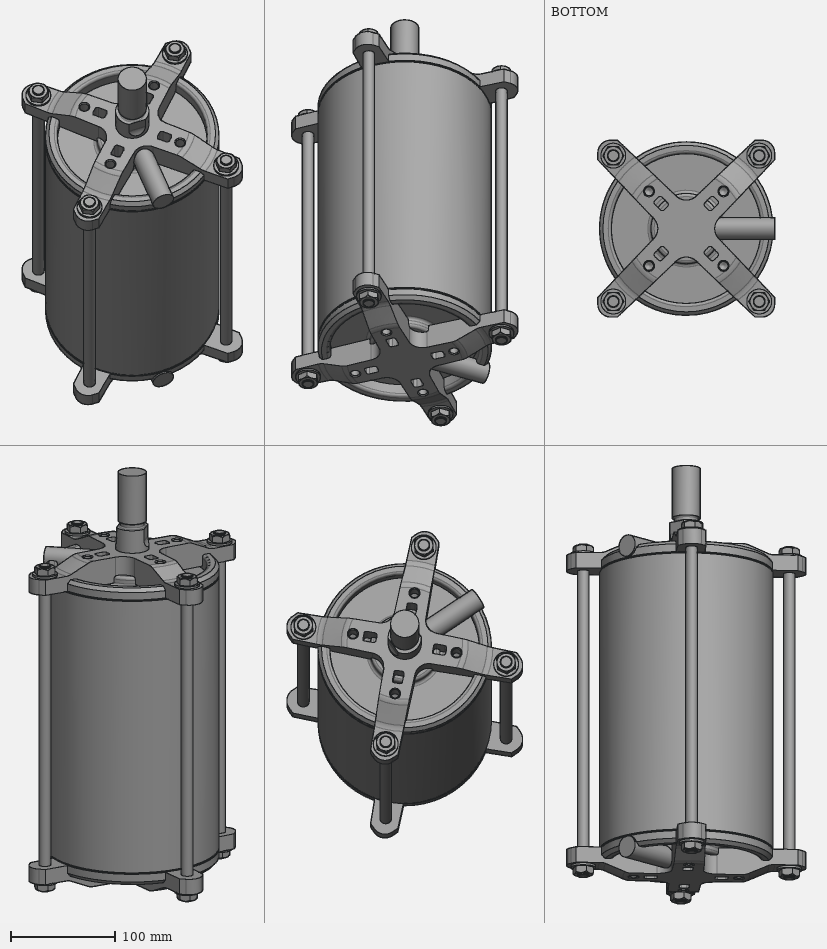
import cadquery as cq
import math

TOTAL_HEIGHT = 405.0
FRAME_HEIGHT = 328.0
MID_Z = FRAME_HEIGHT / 2
FRAME_WIDTH = 170.0

BARREL_DIAMETER = 167.0
SEAM_DIAMETER = 165.0
SEAM_WIDTH = 1.2
CAP_DIAMETER = BARREL_DIAMETER
CAP_TOP_DIAMETER = 160.0
CAP_BEVEL_HEIGHT = 3.5
CAP_TOP_Z = 313.5
RECESS_DIAMETER = 143.8
RECESS_FLOOR_Z = 299.5
RECESS_LIP_RADIUS = 3.05
BOSS_DIAMETER = 67.5
BOSS_TOP_Z = 309.5
BOSS_FILLET_RADIUS = 3.05

SPIDER_THICKNESS = 26.0
ARM_END_THICKNESS = 15.5
ARM_ROOT_WIDTH = 32.0
ARM_TIP_WIDTH = 26.7
ARM_TIP_RADIAL = 107.5
ARM_END_RADIUS = 12.5
HUB_FILLET_RADIUS = 13.8
SLOPE_INNER_RADIUS = 58.5
SLOPE_OUTER_RADIUS = 82.0
SLOPE_BLEND_RADIUS = 13.8
SPIDER_FLOOR_Z = FRAME_HEIGHT - SPIDER_THICKNESS
CAP_BASE_Z = SPIDER_FLOOR_Z
ARM_TOP_Z = SPIDER_FLOOR_Z + ARM_END_THICKNESS
ARM_ANGLES = [45, 135, 225, 315]

ARM_HOLE_DIAMETER = 8.5
ARM_HOLE_MOUTH_DIAMETER = 10.5
ARM_HOLE_DEPTH = 18.2
ARM_HOLE_RADIAL = 50.5
DRILL_CONE_ANGLE = 30
WINDOW_LENGTH = 12.5
WINDOW_WIDTH = 9.7
WINDOW_RADIAL = 34.0
WINDOW_CORNER_RADIUS = 2.5

ROD_OFFSET = 70.0
ROD_DIAMETER = 11.5
ROD_TIP_CHAMFER = 0.6
WASHER_DIAMETER = 24.0
WASHER_THICKNESS = 2.0
NUT_ACROSS_CORNERS = 20.2
NUT_THICKNESS = 7.0
NUT_CHAMFER_HEIGHT = 1.4

TUBE_DIAMETER = 21.0
TUBE_Z = 313.0

SHAFT_DIAMETER = 27.0
NECK_DIAMETER = 22.5
COLLAR_DIAMETER = 32.0
NECK_TOP_Z = 356.0
COLLAR_TOP_Z = 350.7
NECK_FILLET_RADIUS = 1.2
FLAT_BOTTOM_Z = 339.0
FLAT_RUNOUT_RADIUS = 13.0


def cylinder(diameter, bottom, top):
    return cq.Workplane("XY").workplane(offset=bottom).circle(diameter / 2).extrude(top - bottom)


def mirrored_to_bottom(shape):
    """Copy of a top-end shape reflected to the bottom end."""
    return shape.mirror("XY", (0, 0, MID_Z))


def make_barrel():
    """Barrel between the end caps, with a seam groove next to each cap."""
    core = cylinder(SEAM_DIAMETER, FRAME_HEIGHT - CAP_BASE_Z, CAP_BASE_Z)
    wall_top = CAP_BASE_Z - SEAM_WIDTH
    return core.union(cylinder(BARREL_DIAMETER, FRAME_HEIGHT - wall_top, wall_top))


def make_cap():
    """Upper end cap as a solid disc with a bevelled rim."""
    return (
        cq.Workplane("XZ")
        .moveTo(0, CAP_BASE_Z)
        .lineTo(CAP_DIAMETER / 2, CAP_BASE_Z)
        .lineTo(CAP_DIAMETER / 2, CAP_TOP_Z - CAP_BEVEL_HEIGHT)
        .lineTo(CAP_TOP_DIAMETER / 2, CAP_TOP_Z)
        .lineTo(0, CAP_TOP_Z)
        .close()
        .revolve(360, (0, 0, 0), (0, 1, 0))
    )


def make_cap_recess():
    """Cut around the central boss: rounded lip, filleted boss foot and rounded boss edge."""
    lip = RECESS_LIP_RADIUS
    fillet = BOSS_FILLET_RADIUS
    recess_r = RECESS_DIAMETER / 2
    boss_r = BOSS_DIAMETER / 2
    return (
        cq.Workplane("XZ")
        .moveTo(0, CAP_TOP_Z)
        .lineTo(recess_r + lip, CAP_TOP_Z)
        .radiusArc((recess_r, CAP_TOP_Z - lip), -lip)
        .lineTo(recess_r, RECESS_FLOOR_Z)
        .lineTo(boss_r + fillet, RECESS_FLOOR_Z)
        .radiusArc((boss_r, RECESS_FLOOR_Z + fillet), fillet)
        .lineTo(boss_r, BOSS_TOP_Z - fillet)
        .radiusArc((boss_r - fillet, BOSS_TOP_Z), -fillet)
        .lineTo(0, BOSS_TOP_Z)
        .close()
        .revolve(360, (0, 0, 0), (0, 1, 0))
    )


def make_spider_plan():
    """Four-armed prism with tapered arms, filleted inner corners and rounded arm ends."""
    square = (
        cq.Workplane("XY")
        .box(FRAME_WIDTH, FRAME_WIDTH, SPIDER_THICKNESS, centered=(True, True, False))
        .edges("|Z")
        .fillet(ARM_END_RADIUS)
    )
    root = ARM_ROOT_WIDTH / 2
    tip = ARM_TIP_WIDTH / 2
    arm = (
        cq.Workplane("XY")
        .moveTo(0, -root)
        .lineTo(ARM_TIP_RADIAL, -tip)
        .lineTo(FRAME_WIDTH, -tip)
        .lineTo(FRAME_WIDTH, tip)
        .lineTo(ARM_TIP_RADIAL, tip)
        .lineTo(0, root)
        .close()
        .extrude(SPIDER_THICKNESS)
    )
    cross = cq.Workplane("XY")
    for angle in ARM_ANGLES:
        cross = cross.union(arm.rotate((0, 0, 0), (0, 0, 1), angle))
    hub_corners = cq.selectors.BoxSelector(
        (-ARM_ROOT_WIDTH, -ARM_ROOT_WIDTH, 0),
        (ARM_ROOT_WIDTH, ARM_ROOT_WIDTH, SPIDER_THICKNESS),
    )
    cross = cross.edges("|Z").edges(hub_corners).fillet(HUB_FILLET_RADIUS)
    return cross.intersect(square).translate((0, 0, SPIDER_FLOOR_Z))


def make_spider_envelope():
    """Round body whose conical top slopes the arms down towards their ends."""
    envelope = (
        cq.Workplane("XZ")
        .moveTo(0, SPIDER_FLOOR_Z)
        .lineTo(FRAME_WIDTH, SPIDER_FLOOR_Z)
        .lineTo(FRAME_WIDTH, ARM_TOP_Z)
        .lineTo(SLOPE_OUTER_RADIUS, ARM_TOP_Z)
        .lineTo(SLOPE_INNER_RADIUS, FRAME_HEIGHT)
        .lineTo(0, FRAME_HEIGHT)
        .close()
        .revolve(360, (0, 0, 0), (0, 1, 0))
    )
    slope_region = cq.selectors.BoxSelector(
        (-FRAME_WIDTH, -FRAME_WIDTH, ARM_TOP_Z - 0.5),
        (FRAME_WIDTH, FRAME_WIDTH, FRAME_HEIGHT + 0.5),
    )
    slope_edges = [
        edge for edge in envelope.edges("%CIRCLE").edges(slope_region).vals()
        if edge.radius() < FRAME_WIDTH - 4
    ]
    return envelope.newObject(slope_edges).fillet(SLOPE_BLEND_RADIUS)


def make_arm_hole():
    """Blind drilled hole with a countersunk mouth and a conical bottom, on the +X axis."""
    hole_r = ARM_HOLE_DIAMETER / 2
    mouth_r = ARM_HOLE_MOUTH_DIAMETER / 2
    bottom_z = FRAME_HEIGHT - ARM_HOLE_DEPTH
    cone_height = hole_r * math.tan(math.radians(DRILL_CONE_ANGLE))
    return (
        cq.Workplane("XZ")
        .moveTo(0, FRAME_HEIGHT)
        .lineTo(mouth_r, FRAME_HEIGHT)
        .lineTo(hole_r, FRAME_HEIGHT - (mouth_r - hole_r))
        .lineTo(hole_r, bottom_z)
        .lineTo(0, bottom_z - cone_height)
        .close()
        .revolve(360, (0, 0, 0), (0, 1, 0))
        .translate((ARM_HOLE_RADIAL, 0, 0))
    )


def make_window():
    """Rectangular opening with rounded corners, through the spider on the +X axis."""
    return (
        cq.Workplane("XY")
        .box(WINDOW_LENGTH, WINDOW_WIDTH, SPIDER_THICKNESS, centered=(True, True, False))
        .edges("|Z")
        .fillet(WINDOW_CORNER_RADIUS)
        .translate((WINDOW_RADIAL, 0, SPIDER_FLOOR_Z))
    )


def make_spider():
    spider = make_spider_plan().intersect(make_spider_envelope())
    cutter = make_arm_hole().union(make_window())
    for angle in ARM_ANGLES:
        spider = spider.cut(cutter.rotate((0, 0, 0), (0, 0, 1), angle))
    return spider


def make_tube():
    """Round tube along X, from the hub to the edge of the frame."""
    return cq.Workplane("YZ").center(0, TUBE_Z).circle(TUBE_DIAMETER / 2).extrude(FRAME_WIDTH / 2)


def make_washer_and_nut():
    """Round washer under a hexagon nut with a conical chamfer."""
    washer_top = ARM_TOP_Z + WASHER_THICKNESS
    nut_top = washer_top + NUT_THICKNESS
    washer = cylinder(WASHER_DIAMETER, ARM_TOP_Z, washer_top)
    hexagon = cq.Workplane("XY").workplane(offset=washer_top).polygon(6, NUT_ACROSS_CORNERS).extrude(NUT_THICKNESS)
    corner_r = NUT_ACROSS_CORNERS / 2
    flat_r = corner_r * math.cos(math.radians(30))
    chamfer_cone = (
        cq.Workplane("XZ")
        .moveTo(0, washer_top)
        .lineTo(corner_r, washer_top)
        .lineTo(corner_r, nut_top - NUT_CHAMFER_HEIGHT)
        .lineTo(flat_r, nut_top)
        .lineTo(0, nut_top)
        .close()
        .revolve(360, (0, 0, 0), (0, 1, 0))
    )
    return washer.union(hexagon.intersect(chamfer_cone))


def make_tie_rod():
    """Full-length rod with a washer and nut at each end."""
    rod = cylinder(ROD_DIAMETER, 0, FRAME_HEIGHT).faces("<Z or >Z").chamfer(ROD_TIP_CHAMFER)
    fastener = make_washer_and_nut()
    return rod.union(fastener).union(mirrored_to_bottom(fastener))


def make_housing():
    housing = make_barrel()
    cap = make_cap()
    recess = make_cap_recess()
    end_frame = make_spider().union(make_tube())
    housing = housing.union(cap).union(mirrored_to_bottom(cap))
    housing = housing.cut(recess).cut(mirrored_to_bottom(recess))
    housing = housing.union(end_frame).union(mirrored_to_bottom(end_frame))
    tie_rod = make_tie_rod()
    for x in (-ROD_OFFSET, ROD_OFFSET):
        for y in (-ROD_OFFSET, ROD_OFFSET):
            housing = housing.union(tie_rod.translate((x, y, 0)))
    return housing.cut(cylinder(COLLAR_DIAMETER, SPIDER_FLOOR_Z, FRAME_HEIGHT))


def make_neck():
    """Groove floor between the collar and the shaft end, flared by a fillet at each end."""
    neck_r = NECK_DIAMETER / 2
    fillet = NECK_FILLET_RADIUS
    return (
        cq.Workplane("XZ")
        .moveTo(0, COLLAR_TOP_Z)
        .lineTo(neck_r + fillet, COLLAR_TOP_Z)
        .radiusArc((neck_r, COLLAR_TOP_Z + fillet), fillet)
        .lineTo(neck_r, NECK_TOP_Z - fillet)
        .radiusArc((neck_r + fillet, NECK_TOP_Z), fillet)
        .lineTo(0, NECK_TOP_Z)
        .close()
        .revolve(360, (0, 0, 0), (0, 1, 0))
    )


def make_shaft():
    """Shaft seated in the upper hub: flatted collar, grooved neck and plain end."""
    collar = cylinder(COLLAR_DIAMETER, SPIDER_FLOOR_Z, COLLAR_TOP_Z)
    flat_x = SHAFT_DIAMETER / 2
    cutter = (
        cq.Workplane("XZ")
        .moveTo(flat_x, COLLAR_TOP_Z)
        .lineTo(flat_x, FLAT_BOTTOM_Z)
        .radiusArc((flat_x + FLAT_RUNOUT_RADIUS, FLAT_BOTTOM_Z - FLAT_RUNOUT_RADIUS), -FLAT_RUNOUT_RADIUS)
        .lineTo(flat_x + FLAT_RUNOUT_RADIUS, COLLAR_TOP_Z)
        .close()
        .extrude(COLLAR_DIAMETER / 2, both=True)
    )
    collar = collar.cut(cutter).cut(cutter.mirror("YZ"))
    tip = cylinder(SHAFT_DIAMETER, NECK_TOP_Z, TOTAL_HEIGHT)
    neck = make_neck()
    return collar.union(neck).union(tip)


housing = make_housing()
shaft = make_shaft()

result = cq.Compound.makeCompound([housing.val(), shaft.val()])